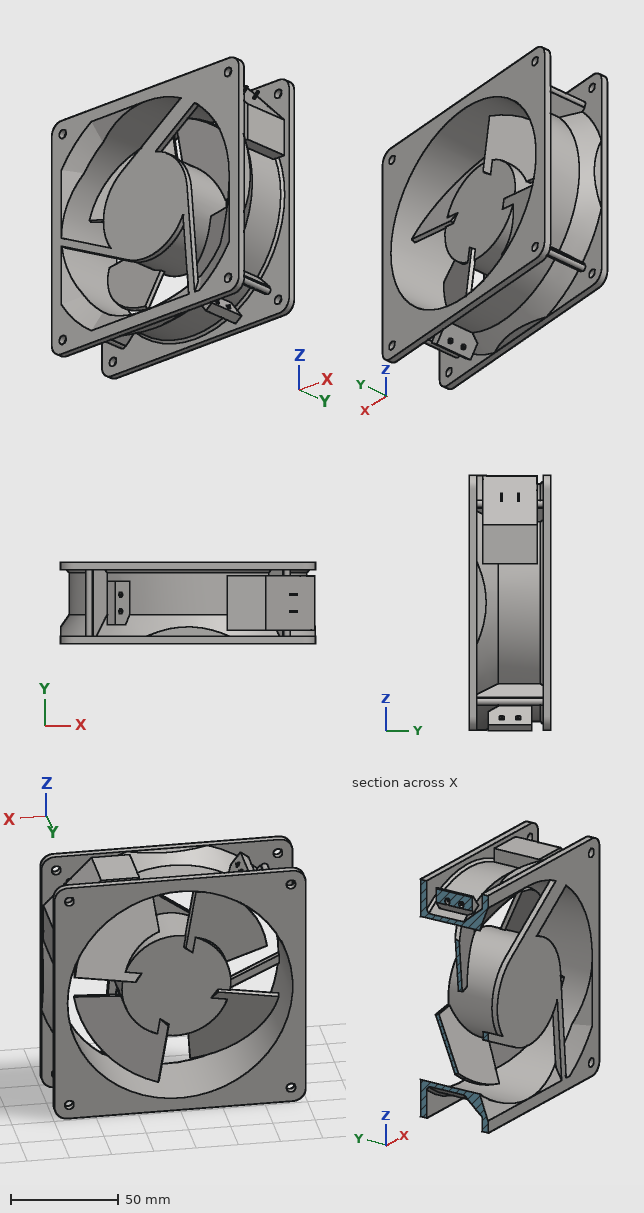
import cadquery as cq
import math


frame_side = 119.0
depth = 38.0
front_y = -depth / 2
back_y = depth / 2
plate_thickness = 3.6
frame_corner_radius = 6.2
hole_spacing = 105.0
hole_diameter = 4.3
bore_radius = 53.3
duct_radius = 55.4

flare_depth = 13.6
flare_angle = 35.0
inlet_depth = 4.7
inlet_angle = 65.0
collar_depth = 1.3
collar_angle = 45.0
shell_side = 118.8

diagonal_angle = 45.0

post_spacing = 92.2
post_diameter = 3.3
gusset_width = 4.1
gusset_end = 64.5

hub_radius = 26.6
rotor_radius = 25.8
disc_thickness = 3.0
rotor_back_y = 9.0
wide_strut_width = 9.2
strut_width = 3.8
strut_length = 57.0
struts = [(35.0, wide_strut_width), (155.0, strut_width), (275.0, strut_width)]

blade_count = 4
blade_first_angle = 9.5
blade_sweep = 70.0
blade_tilt = 22.0
blade_radius = 49.1
blade_root_radius = 20.0
blade_edge_offset = 4.0
blade_thickness = 2.3
blade_root_y = 8.5

connector_start = 18.2
connector_face = 59.1
connector_chamfer_start = 36.3
connector_width = 25.2
pin_size = 0.8
pin_height = 4.2
pin_spacing = 7.8

clip_angle = 127.3
clip_width = 4.8
clip_length = 20.4
clip_top = 65.9
clip_root = 52.0
clip_offset = 5.3
lower_clip_offset = 9.68
clip_hole_diameter = 2.4
clip_hole_drop = 4.1
clip_hole_spacing = 7.8
clip_hole_depth = 2.2
clip_pin_size = 0.4
clip_pin_protrusion = 1.0


def face_plane(y):
    """Plane across the fan axis at y, with local axes X and Z; negative extrusion runs toward +Y."""
    return cq.Workplane("XZ", origin=(0, y, 0))


def cylinder(radius, y_start, y_end):
    return face_plane(y_start).circle(radius).extrude(y_start - y_end)


def frame_outline(y_start, y_end):
    return face_plane(y_start).rect(frame_side, frame_side).extrude(y_start - y_end)


def make_plate(y_start):
    plate = frame_outline(y_start, y_start + plate_thickness)
    plate = plate.edges("|Y").fillet(frame_corner_radius)
    holes = (
        face_plane(y_start)
        .rect(hole_spacing, hole_spacing, forConstruction=True)
        .vertices()
        .circle(hole_diameter / 2)
        .extrude(-plate_thickness)
    )
    return plate.cut(holes)


def make_duct():
    flare_growth = flare_depth * math.tan(math.radians(flare_angle))
    duct = cylinder(duct_radius, front_y, back_y)
    flare = face_plane(front_y).circle(duct_radius + flare_growth).extrude(-flare_depth, taper=flare_angle)
    trim = face_plane(front_y).rect(shell_side, shell_side).extrude(-flare_depth)
    collar_y = back_y - plate_thickness
    collar_growth = collar_depth * math.tan(math.radians(collar_angle))
    collar = (
        face_plane(collar_y)
        .circle(duct_radius + collar_growth)
        .extrude(collar_depth, taper=collar_angle)
    )
    return duct.union(flare.intersect(trim)).union(collar)


def make_post(angle):
    """Round post between the plates, with a flat gusset reaching in to the duct."""
    distance = post_spacing / math.sqrt(2)
    gusset_start = (bore_radius + duct_radius) / 2
    inner_y = front_y + plate_thickness
    length = depth - 2 * plate_thickness
    post = face_plane(inner_y).center(distance, 0).circle(post_diameter / 2).extrude(-length)
    gusset = (
        face_plane(inner_y)
        .center((gusset_start + gusset_end) / 2, 0)
        .rect(gusset_end - gusset_start, gusset_width)
        .extrude(-length)
    )
    return post.union(gusset).rotate((0, 0, 0), (0, -1, 0), angle)


def make_opening():
    """Bore plus the tapered inlet, which is left out of the +X +Z quadrant."""
    cone_radius = bore_radius + inlet_depth * math.tan(math.radians(inlet_angle))
    cone = face_plane(front_y).circle(cone_radius).extrude(-inlet_depth, taper=inlet_angle)
    pyramid = (
        face_plane(front_y)
        .rect(2 * bore_radius, 2 * bore_radius)
        .extrude(-inlet_depth, taper=inlet_angle)
    )
    quadrant = face_plane(front_y).rect(frame_side, frame_side, centered=False).extrude(-inlet_depth)
    inlet = cone.intersect(pyramid).cut(quadrant)
    return cylinder(bore_radius, front_y, back_y).union(inlet)


def make_connector():
    outline = [
        (connector_start, connector_start),
        (connector_start, connector_face),
        (connector_chamfer_start, connector_face),
        (connector_face, connector_chamfer_start),
        (connector_face, connector_start),
    ]
    box = face_plane(-connector_width / 2).polyline(outline).close().extrude(-connector_width)
    chamfer_distance = (connector_face + connector_chamfer_start) / math.sqrt(2)
    for side in (-1, 1):
        pin = (
            cq.Workplane("XY")
            .box(2 * pin_height, pin_size, pin_size)
            .translate((chamfer_distance, side * pin_spacing / 2, 0))
            .rotate((0, 0, 0), (0, -1, 0), diagonal_angle)
        )
        box = box.union(pin)
    return box


def make_clip(angle, offset):
    """Slab standing out from the duct beside a radial line, with pins in holes on both sides."""
    height = clip_top - clip_root
    slab = (
        face_plane(-clip_length / 2)
        .center((clip_top + clip_root) / 2, -offset)
        .rect(height, clip_width)
        .extrude(-clip_length)
    )
    hole_radius = clip_hole_diameter / 2
    core_width = clip_width - 2 * clip_hole_depth
    pin_length = clip_width + 2 * clip_pin_protrusion
    for side in (-1, 1):
        center = (clip_top - clip_hole_drop, side * clip_hole_spacing / 2, -offset)
        drill = cq.Workplane("XY").circle(hole_radius).extrude(clip_width, both=True)
        core = cq.Workplane("XY").circle(hole_radius).extrude(core_width / 2, both=True)
        pin = cq.Workplane("XY").box(clip_pin_size, clip_pin_size, pin_length)
        slab = slab.cut(drill.cut(core).translate(center)).union(pin.translate(center))
    return slab.rotate((0, 0, 0), (0, -1, 0), angle)


def make_strut(angle, width):
    """Strut whose outer side is tangent to the hub disc."""
    strut = (
        face_plane(front_y)
        .center(0, hub_radius - width)
        .rect(strut_length, width, centered=False)
        .extrude(-disc_thickness)
        .rotate((0, 0, 0), (0, -1, 0), angle)
    )
    return strut.intersect(frame_outline(front_y, back_y))


def make_blade(angle):
    """Flat sector tilted about its radial leading edge; the trailing edge aims beside the axis."""
    sweep = math.radians(blade_sweep)
    middle_tip = (blade_radius * math.cos(sweep / 2), blade_radius * math.sin(sweep / 2))
    trailing_tip = (blade_radius * math.cos(sweep), blade_radius * math.sin(sweep))
    root_share = blade_root_radius / blade_radius
    trailing_root = (
        blade_edge_offset + root_share * (trailing_tip[0] - blade_edge_offset),
        root_share * trailing_tip[1],
    )
    sector = (
        face_plane(0)
        .moveTo(blade_root_radius, 0)
        .lineTo(blade_radius, 0)
        .threePointArc(middle_tip, trailing_tip)
        .lineTo(*trailing_root)
        .close()
        .extrude(-blade_thickness)
    )
    return (
        sector.rotate((0, 0, 0), (1, 0, 0), blade_tilt)
        .translate((0, blade_root_y, 0))
        .rotate((0, 0, 0), (0, -1, 0), angle)
    )


body = make_duct()
body = body.union(make_plate(front_y)).union(make_plate(back_y - plate_thickness))
for corner in range(4):
    body = body.union(make_post(diagonal_angle + 90 * corner))
body = body.union(make_connector())
body = body.union(make_clip(clip_angle, clip_offset))
body = body.union(make_clip(clip_angle + 180, lower_clip_offset))
body = body.cut(make_opening())

body = body.union(cylinder(hub_radius, front_y, front_y + disc_thickness))
body = body.union(cylinder(rotor_radius, front_y, rotor_back_y))
for strut_angle, width in struts:
    body = body.union(make_strut(strut_angle, width))
for number in range(blade_count):
    body = body.union(make_blade(blade_first_angle + number * 360 / blade_count))

result = body